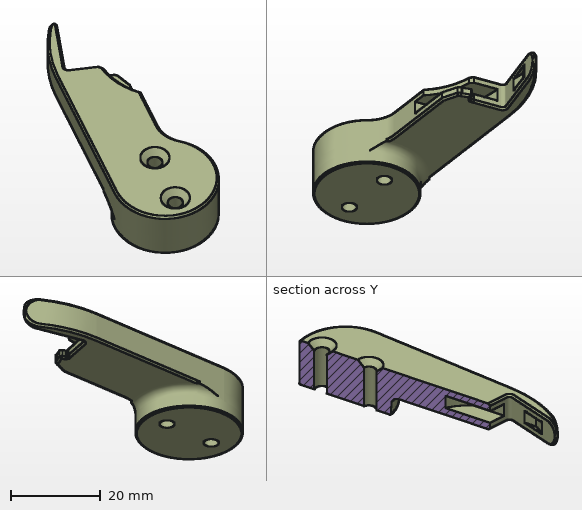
import cadquery as cq
import math

height = 12.0
arm_bottom = 5.0
pawl_top = 6.95
lip_bottom = 10.1
edge_chamfer = 0.5

hub_radius = 12.0
hub_chamfer = 0.3
side_tilt = math.radians(5.5)
upper_side_offset = 4.1
neck_radius = 7.3
flare_radius = 2.0

tip_outer = (-54.35, -1.6)
tip_inner = (-54.05, -0.65)
tip_radius = 2.9
finger_start_x = -38.5
finger_root = (-39.4, -5.6)
root_fillet = 0.8

arm_end_top = (-37.0, 2.2)
pawl_tip_x = -32.9
pawl_points = [(-37.2, 2.5), (-37.85, 2.8), (-38.2, 3.4), (-37.25, 5.1), (-37.25, 5.5), (-36.65, 6.1)]
pawl_inner_start = (-38.45, -2.6)
pawl_inner_corner = (-22.55, -2.6)

arm_end_below_lip = (-37.2, 1.6)
lip_start = (-36.25, 2.3)
lip_middle = (-31.1, 3.45)
lip_end_x = -26.0

undercut_center = (-39.0, 10.4)
undercut_radius = 16.6
undercut_floor_y = -4.0

hole_distance = 6.5
hole_diameter = 3.4
countersink_diameter = 6.5
countersink_angle = 90


def along_side(distance, offset):
    """Point at a distance along the tilted arm and an offset across it from the hub centre."""
    return (
        distance * math.cos(side_tilt) + offset * math.sin(side_tilt),
        offset * math.cos(side_tilt) - distance * math.sin(side_tilt),
    )


def side_point(x, offset):
    """Point at a given X on the arm side with the given offset from the hub centre."""
    return (x, offset / math.cos(side_tilt) - x * math.tan(side_tilt))


def neck_geometry():
    """Start, centre and end of the arc joining the upper side to the hub."""
    neck_offset = upper_side_offset + neck_radius
    neck_distance = -math.sqrt((hub_radius + neck_radius) ** 2 - neck_offset**2)
    neck_center = along_side(neck_distance, neck_offset)
    hub_share = hub_radius / (hub_radius + neck_radius)
    neck_end = (neck_center[0] * hub_share, neck_center[1] * hub_share)
    neck_start = along_side(neck_distance, upper_side_offset)
    return neck_start, neck_center, neck_end


def arm_prism(add_arm_end, bottom, top):
    """Arm prism; add_arm_end draws its end from the finger root to the upper side."""
    neck_start, neck_center, neck_end = neck_geometry()
    to_corner = [neck_start[i] + neck_end[i] - 2 * neck_center[i] for i in range(2)]
    reach = neck_radius / math.hypot(*to_corner)
    neck_middle = (neck_center[0] + reach * to_corner[0], neck_center[1] + reach * to_corner[1])
    sketch = (
        cq.Workplane("XY", origin=(0, 0, bottom))
        .moveTo(*along_side(0, -hub_radius))
        .lineTo(*side_point(finger_start_x, -hub_radius))
        .tangentArcPoint(tip_outer, relative=False)
        .lineTo(*tip_inner)
        .lineTo(*finger_root)
    )
    prism = (
        add_arm_end(sketch)
        .lineTo(*neck_start)
        .threePointArc(neck_middle, neck_end)
        .threePointArc((hub_radius, 0), along_side(0, -hub_radius))
        .close()
        .extrude(top - bottom)
    )
    root_edge = cq.selectors.NearestToPointSelector((*finger_root, (bottom + top) / 2))
    return prism.edges(root_edge).fillet(root_fillet)


def add_lip_end(sketch):
    """Arm end face and the curved edge of the lip."""
    return (
        sketch.lineTo(*arm_end_below_lip)
        .lineTo(*lip_start)
        .threePointArc(lip_middle, side_point(lip_end_x, upper_side_offset))
    )


def tip_rounding():
    """Slab along the arm with the tip end rounded in height."""
    length = hub_radius - tip_outer[0]
    slab = cq.Workplane("XY").box(length, 4 * hub_radius, height - arm_bottom, centered=(False, True, False))
    slab = slab.translate((tip_outer[0], 0, arm_bottom))
    return slab.edges("|Y and <X").fillet(tip_radius)


def arm():
    """Chamfered arm, mirrored about its mid-height plane."""
    middle = (arm_bottom + height) / 2
    half = arm_prism(add_lip_end, middle, height).intersect(tip_rounding())
    half = half.faces(">Z").edges().chamfer(edge_chamfer)
    return half.union(half.mirror("XY", (0, 0, middle))).clean()


def undercut():
    """Cylindrical recess between the pawl and the lip, kept clear of the finger."""
    cylinder = (
        cq.Workplane("XY", origin=(0, 0, pawl_top))
        .center(*undercut_center)
        .circle(undercut_radius)
        .extrude(lip_bottom - pawl_top)
    )
    keep_size = 2 * undercut_radius
    keep = cq.Workplane("XY", origin=(undercut_center[0], undercut_floor_y, pawl_top)).box(
        keep_size, keep_size, lip_bottom - pawl_top, centered=(True, False, False)
    )
    return cylinder.intersect(keep)


def pawl():
    """Toothed plate below the lip, with a bevelled underside."""
    outline = [
        pawl_inner_start,
        arm_end_top,
        *pawl_points,
        side_point(pawl_tip_x, upper_side_offset),
        side_point(pawl_inner_corner[0], upper_side_offset),
        pawl_inner_corner,
    ]
    bevel_top = arm_bottom + edge_chamfer
    bevel_angle = 45
    sketch = cq.Workplane("XY", origin=(0, 0, bevel_top)).polyline(outline).close()
    bevel = sketch.extrude(-edge_chamfer, taper=bevel_angle, combine=False)
    sketch = cq.Workplane("XY", origin=(0, 0, bevel_top)).polyline(outline).close()
    return sketch.extrude(pawl_top - bevel_top).union(bevel)


def hub():
    """Hub cylinder with a chamfered underside."""
    cylinder = cq.Workplane("XY").circle(hub_radius).extrude(arm_bottom - flare_radius)
    return cylinder.faces("<Z").chamfer(hub_chamfer)


def flare():
    """Concave transition from the hub to the arm underside, trimmed to the arm outline."""
    flare_bottom = arm_bottom - flare_radius
    rim_radius = hub_radius + flare_radius
    rim_top = arm_bottom + edge_chamfer
    quarter = flare_radius * math.sqrt(0.5)
    ring = (
        cq.Workplane("XZ")
        .moveTo(0, flare_bottom)
        .lineTo(hub_radius, flare_bottom)
        .threePointArc((rim_radius - quarter, flare_bottom + quarter), (rim_radius, arm_bottom))
        .lineTo(rim_radius, rim_top)
        .lineTo(0, rim_top)
        .close()
        .revolve(360, (0, 0, 0), (0, 1, 0))
    )
    return ring.intersect(arm_prism(add_lip_end, flare_bottom, rim_top))


result = arm().cut(undercut()).union(pawl()).union(hub()).union(flare()).clean()
result = (
    result.faces(">Z")
    .workplane(origin=(0, 0, height))
    .pushPoints([along_side(-hole_distance, 0), along_side(hole_distance, 0)])
    .cskHole(hole_diameter, countersink_diameter, countersink_angle)
)